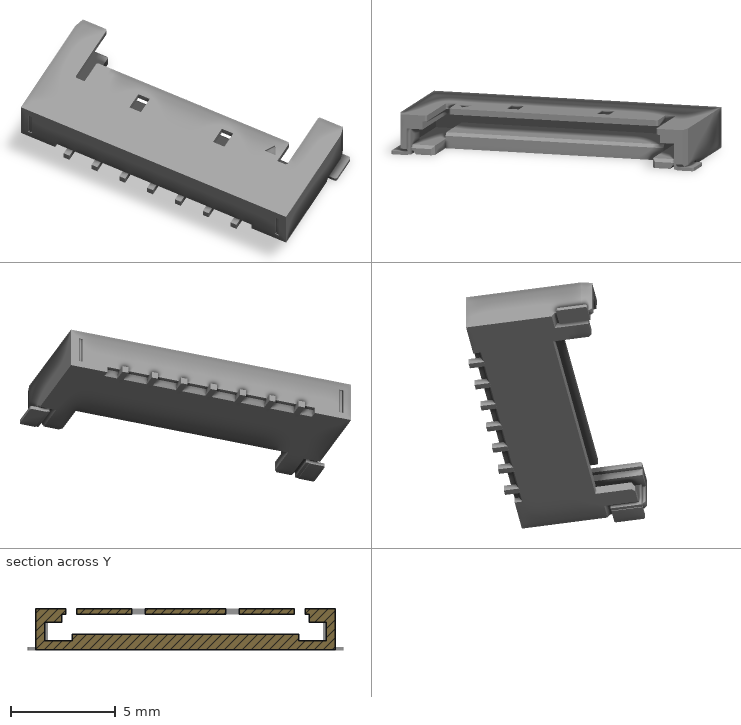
import cadquery as cq
import math


TOTAL_LENGTH = 15.05
HOUSING_LENGTH = 14.3
HOUSING_DEPTH = 6.1
TOP_Z = 2.0
BOTTOM_Z = 0.03
HALF_LENGTH = HOUSING_LENGTH / 2

ARM_WIDTH = 1.45
ARM_TAPER_X = 0.14
ARM_TAPER_Y = 0.51
PLATE_FRONT_Y = 4.08
NOTCH_WIDTH = 0.51
NOTCH_END_Y = 2.81
CORNER_RADIUS = 0.1
ARM_INNER_X = HALF_LENGTH - ARM_WIDTH
PLATE_HALF_LENGTH = ARM_INNER_X - NOTCH_WIDTH

REAR_WALL = 1.2
SIDE_WALL = 0.45
FLOOR_TOP_Z = 0.78
LEDGE_TOP_Z = 0.48
PLATE_UNDERSIDE_Z = 1.72
LIP_WIDTH = 0.2
ARM_UNDERSIDE_Z = 1.32
CAVITY_HALF_LENGTH = HALF_LENGTH - SIDE_WALL
LIP_OUTER_X = ARM_INNER_X + LIP_WIDTH

FLOOR_FRONT_Y = 3.9
FLOOR_ARM_FRONT_Y = 5.8
FLOOR_ARM_INNER_X = 5.42
MOUTH_CHAMFER = 0.15

PIN_COUNT = 7
PIN_ROW_LENGTH = 9.0
PIN_WIDTH = 0.32
PIN_PITCH = PIN_ROW_LENGTH / (PIN_COUNT - 1)
PIN_TOP_Z = 0.32
PIN_REAR_Y = -0.35
PIN_FRONT_Y = 0.39
PIN_RELIEF_LENGTH = 10.6
PIN_RELIEF_TOP_Z = PIN_TOP_Z
PIN_RELIEF_ROOF_DEPTH = 0.23
PIN_RELIEF_DEPTH = 0.38

TAB_THICKNESS = 0.17
TAB_FRONT_Y = 5.93
TAB_LENGTH = 1.5
TAB_INNER_X = HALF_LENGTH - 0.6
TAB_RELIEF_TOP_Z = 0.21
TAB_RELIEF_REAR_Y = 4.15
TAB_RELIEF_FLARE = 0.14
TAB_RELIEF_INNER_X = HALF_LENGTH - 0.83
ARM_CHAMFER_Z = 0.33

SLOT_WIDTH = 0.2
SLOT_BOTTOM_Z = 0.35
SLOT_TOP_Z = 1.6
SLOT_DEPTH = 0.3
SLOT_CENTER_X = HALF_LENGTH - 0.5
BLADE_WIDTH = 0.1
BLADE_RECESS = 0.05

WINDOW_LENGTH = 0.62
WINDOW_DEPTH = 0.9
WINDOW_CENTER_Y = 2.86
WINDOW_CENTER_X = 1.5 * PIN_PITCH
MARK_CENTER_X = 4.67
MARK_BASE_Y = 3.09
MARK_HEIGHT = 0.51
MARK_WIDTH = 0.6
MARK_DEPTH = 0.08

SIDES = (-1, 1)
SELECTION_MARGIN = 0.02


def block(x_range, y_range, z_range):
    """Axis-aligned box between pairs of limits."""
    size = [high - low for low, high in (x_range, y_range, z_range)]
    return cq.Workplane("XY").box(*size, centered=False).translate((x_range[0], y_range[0], z_range[0]))


def side_block(side, x_range, y_range, z_range):
    """Box given by distances from the centre plane, placed on the -X or +X side."""
    return block(sorted(side * x for x in x_range), y_range, z_range)


def outer_body():
    """Housing block with tapered arm ends."""
    half_outline = [
        (0, 0),
        (HALF_LENGTH, 0),
        (HALF_LENGTH, HOUSING_DEPTH - ARM_TAPER_Y),
        (HALF_LENGTH - ARM_TAPER_X, HOUSING_DEPTH),
        (0, HOUSING_DEPTH),
    ]
    base = cq.Workplane("XY").workplane(offset=BOTTOM_Z)
    half = base.polyline(half_outline).close().extrude(TOP_Z - BOTTOM_Z)
    return half.union(half.mirror("YZ"))


def cavity():
    """Stepped mating cavity, open at the front."""
    half_profile = [
        (0, FLOOR_TOP_Z),
        (FLOOR_ARM_INNER_X, FLOOR_TOP_Z),
        (FLOOR_ARM_INNER_X, LEDGE_TOP_Z),
        (CAVITY_HALF_LENGTH, LEDGE_TOP_Z),
        (CAVITY_HALF_LENGTH, ARM_UNDERSIDE_Z),
        (LIP_OUTER_X, ARM_UNDERSIDE_Z),
        (LIP_OUTER_X, PLATE_UNDERSIDE_Z),
        (0, PLATE_UNDERSIDE_Z),
    ]
    half = (
        cq.Workplane("XZ", origin=(0, REAR_WALL, 0))
        .polyline(half_profile)
        .close()
        .extrude(REAR_WALL - HOUSING_DEPTH)
    )
    return half.union(half.mirror("YZ"))


def top_opening():
    """Space between the arms in front of the top plate, with a notch beside each arm."""
    z_range = (ARM_UNDERSIDE_Z, TOP_Z)
    opening = block((-ARM_INNER_X, ARM_INNER_X), (PLATE_FRONT_Y, HOUSING_DEPTH), z_range)
    for side in SIDES:
        opening = opening.union(
            side_block(side, (PLATE_HALF_LENGTH, ARM_INNER_X), (NOTCH_END_Y, HOUSING_DEPTH), z_range)
        )
    plate_corners = opening.edges("|Z").edges(
        cq.selectors.BoxSelector(
            (-PLATE_HALF_LENGTH - SELECTION_MARGIN, PLATE_FRONT_Y - SELECTION_MARGIN, 0),
            (PLATE_HALF_LENGTH + SELECTION_MARGIN, PLATE_FRONT_Y + SELECTION_MARGIN, TOP_Z),
        )
    )
    opening = plate_corners.fillet(CORNER_RADIUS)
    return opening.edges("|Z and (<X or >X)").edges("<Y").fillet(CORNER_RADIUS)


def floor_opening():
    """Space in front of the floor, with bevels along its front edges."""
    half_outline = [
        (0, FLOOR_FRONT_Y),
        (FLOOR_ARM_INNER_X, FLOOR_FRONT_Y),
        (FLOOR_ARM_INNER_X, FLOOR_ARM_FRONT_Y - MOUTH_CHAMFER),
        (FLOOR_ARM_INNER_X + MOUTH_CHAMFER, FLOOR_ARM_FRONT_Y),
        (CAVITY_HALF_LENGTH, FLOOR_ARM_FRONT_Y),
        (CAVITY_HALF_LENGTH, HOUSING_DEPTH),
        (0, HOUSING_DEPTH),
    ]
    half = cq.Workplane("XY").polyline(half_outline).close().extrude(FLOOR_TOP_Z)
    opening = half.union(half.mirror("YZ"))

    def front_bevel(front_y, top_z, half_length):
        profile = [
            (front_y, top_z - MOUTH_CHAMFER),
            (front_y, top_z),
            (front_y - MOUTH_CHAMFER, top_z),
        ]
        return cq.Workplane("YZ").polyline(profile).close().extrude(half_length, both=True)

    opening = opening.union(front_bevel(FLOOR_FRONT_Y, FLOOR_TOP_Z, FLOOR_ARM_INNER_X))
    return opening.union(front_bevel(FLOOR_ARM_FRONT_Y, LEDGE_TOP_Z, CAVITY_HALF_LENGTH))


def windows():
    """Inspection windows through the top plate."""
    return (
        cq.Workplane("XY", origin=(0, WINDOW_CENTER_Y, PLATE_UNDERSIDE_Z))
        .pushPoints([(side * WINDOW_CENTER_X, 0) for side in SIDES])
        .rect(WINDOW_LENGTH, WINDOW_DEPTH)
        .extrude(TOP_Z - PLATE_UNDERSIDE_Z)
    )


def position_mark():
    """Triangular recess that marks the first contact."""
    triangle = [
        (MARK_CENTER_X - MARK_WIDTH / 2, MARK_BASE_Y),
        (MARK_CENTER_X + MARK_WIDTH / 2, MARK_BASE_Y),
        (MARK_CENTER_X, MARK_BASE_Y + MARK_HEIGHT),
    ]
    return cq.Workplane("XY").workplane(offset=TOP_Z).polyline(triangle).close().extrude(-MARK_DEPTH)


def pin_relief():
    """Relief with a flat roof and a sloped inner wall along the lower rear edge, around the contact feet."""
    profile = [
        (0, BOTTOM_Z),
        (0, PIN_RELIEF_TOP_Z),
        (PIN_RELIEF_ROOF_DEPTH, PIN_RELIEF_TOP_Z),
        (PIN_RELIEF_DEPTH, BOTTOM_Z),
    ]
    return cq.Workplane("YZ").polyline(profile).close().extrude(PIN_RELIEF_LENGTH / 2, both=True)


def tab_relief(side):
    """Relief with flared walls under one arm, clear of the solder tab, and a bevel at the arm's front."""
    height = TAB_RELIEF_TOP_Z - BOTTOM_Z
    flare_angle = math.degrees(math.atan2(TAB_RELIEF_FLARE, height))
    width = TOTAL_LENGTH / 2 - TAB_RELIEF_INNER_X
    depth = HOUSING_DEPTH + TAB_RELIEF_FLARE - TAB_RELIEF_REAR_Y
    center = (side * (TAB_RELIEF_INNER_X + width / 2), TAB_RELIEF_REAR_Y + depth / 2, BOTTOM_Z)
    relief = cq.Workplane("XY", origin=center).rect(width, depth).extrude(height, taper=flare_angle)
    bevel_profile = [
        (TAB_FRONT_Y, BOTTOM_Z),
        (TAB_FRONT_Y, TAB_RELIEF_TOP_Z),
        (HOUSING_DEPTH, ARM_CHAMFER_Z),
        (HOUSING_DEPTH, BOTTOM_Z),
    ]
    bevel = (
        cq.Workplane("YZ", origin=(side * TAB_RELIEF_INNER_X, 0, 0))
        .polyline(bevel_profile)
        .close()
        .extrude(side * width)
    )
    return relief.union(bevel)


def tab_slot(side):
    """Rear slot of one solder tab, leaving the end of the tab's blade standing inside it."""
    z_range = (SLOT_BOTTOM_Z, SLOT_TOP_Z)

    def centred(width, y_range):
        x_range = (SLOT_CENTER_X - width / 2, SLOT_CENTER_X + width / 2)
        return side_block(side, x_range, y_range, z_range)

    return centred(SLOT_WIDTH, (0, SLOT_DEPTH)).cut(centred(BLADE_WIDTH, (BLADE_RECESS, SLOT_DEPTH)))


def solder_tab(side):
    """L-shaped solder tab: a foot on the board and a leg against the arm's side wall."""
    y_range = (TAB_FRONT_Y - TAB_LENGTH, TAB_FRONT_Y)
    leg_outer_x = TAB_INNER_X + TAB_THICKNESS
    foot = side_block(side, (leg_outer_x, TOTAL_LENGTH / 2), y_range, (0, TAB_THICKNESS))
    foot = foot.edges("|Z").edges(">X" if side > 0 else "<X").fillet(CORNER_RADIUS)
    leg = side_block(side, (TAB_INNER_X, leg_outer_x), y_range, (BOTTOM_Z, ARM_UNDERSIDE_Z))
    return foot.union(leg)


def pins():
    """Row of contact feet along the rear edge."""
    return (
        cq.Workplane("XY", origin=(0, (PIN_REAR_Y + PIN_FRONT_Y) / 2, 0))
        .rarray(PIN_PITCH, 0.15, PIN_COUNT, 1)
        .rect(PIN_WIDTH, PIN_FRONT_Y - PIN_REAR_Y)
        .extrude(PIN_TOP_Z)
    )


result = outer_body().cut(cavity()).cut(top_opening())
arm_tip_corners = cq.selectors.BoxSelector(
    (-ARM_INNER_X - SELECTION_MARGIN, HOUSING_DEPTH - SELECTION_MARGIN, ARM_UNDERSIDE_Z),
    (ARM_INNER_X + SELECTION_MARGIN, HOUSING_DEPTH + SELECTION_MARGIN, TOP_Z),
)
result = result.edges("|Z").edges(arm_tip_corners).fillet(CORNER_RADIUS)
for cutter in (floor_opening(), windows(), position_mark(), pin_relief()):
    result = result.cut(cutter)
for side in SIDES:
    result = result.cut(tab_relief(side)).cut(tab_slot(side))
    result = result.union(solder_tab(side))
result = result.union(pins())